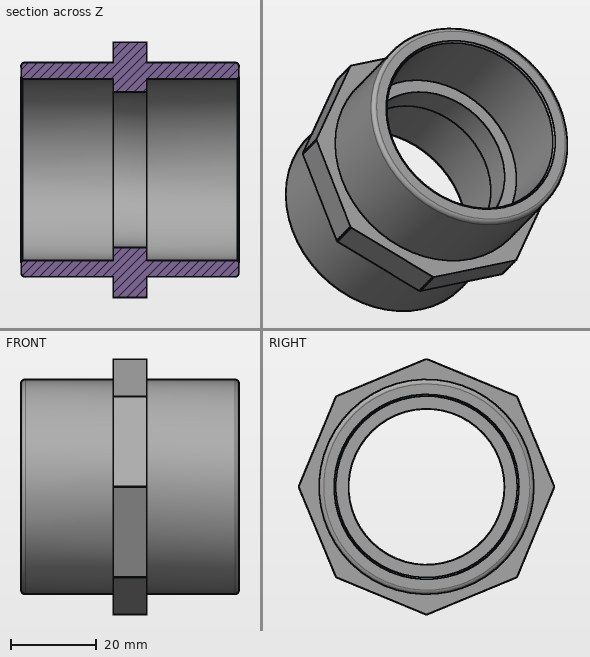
import cadquery as cq
import math

length = 50.8
across_corners = 59.45
collar_width = 7.9
collar_sides = 8
corner_flat = 0.3
body_diameter = 50.0
rim_round = 1.0

bore_diameter = 36.2
socket_diameter = 42.2
mouth_bevel = 0.4
stop_width = collar_width


def make_body():
    """Round sleeve with rounded outer rims."""
    sleeve = cq.Workplane("YZ").circle(body_diameter / 2).extrude(length / 2, both=True)
    return sleeve.faces("<X or >X").edges().fillet(rim_round)


def make_collar():
    """Octagonal wrench collar with corners on the Y and Z axes, slightly blunted."""
    sharp_diameter = across_corners + corner_flat * math.tan(math.pi / collar_sides)
    collar = cq.Workplane("YZ").polygon(collar_sides, sharp_diameter).extrude(collar_width / 2, both=True)
    blunting = (
        cq.Workplane("YZ")
        .polygon(collar_sides, across_corners / math.cos(math.pi / collar_sides))
        .extrude(collar_width / 2, both=True)
        .rotate((0, 0, 0), (1, 0, 0), 180 / collar_sides)
    )
    return collar.intersect(blunting)


def make_cavity():
    """Two sockets with bevelled mouths and the bore between them, along the X axis."""
    cavity = cq.Workplane("YZ").circle(bore_diameter / 2).extrude(length / 2, both=True)
    for side in (-1, 1):
        end = side * length / 2
        floor = side * stop_width / 2
        bevel_start = end - side * mouth_bevel
        socket_radius = socket_diameter / 2
        profile = [
            (floor, 0),
            (floor, socket_radius),
            (bevel_start, socket_radius),
            (end, socket_radius + mouth_bevel),
            (end, 0),
        ]
        socket = cq.Workplane("XY").polyline(profile).close().revolve(360, (0, 0, 0), (1, 0, 0))
        cavity = cavity.union(socket)
    return cavity


result = make_body().union(make_collar()).cut(make_cavity())